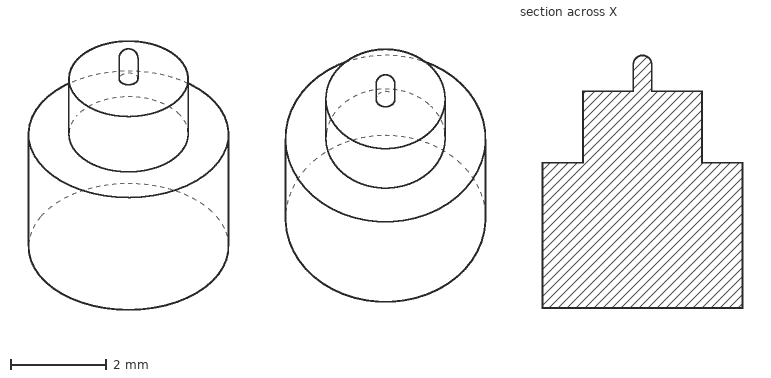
import cadquery as cq

total_height = 5.3
body_diameter = 4.2
body_height = 3.05
neck_diameter = 2.5
neck_height = 1.5
pin_diameter = 0.4

pin_radius = pin_diameter / 2
neck_top = body_height + neck_height
pin_shank_height = total_height - neck_top - pin_radius


def cylinder(diameter, height, base_z):
    """Upright cylinder on the Z axis, standing at base_z."""
    return cq.Workplane("XY").workplane(offset=base_z).circle(diameter / 2).extrude(height)


body = cylinder(body_diameter, body_height, 0)
neck = cylinder(neck_diameter, neck_height, body_height)

pin_shank = cylinder(pin_diameter, pin_shank_height, neck_top)
pin_tip = cq.Workplane("XY").sphere(pin_radius).translate((0, 0, total_height - pin_radius))

result = body.union(neck).union(pin_shank).union(pin_tip)